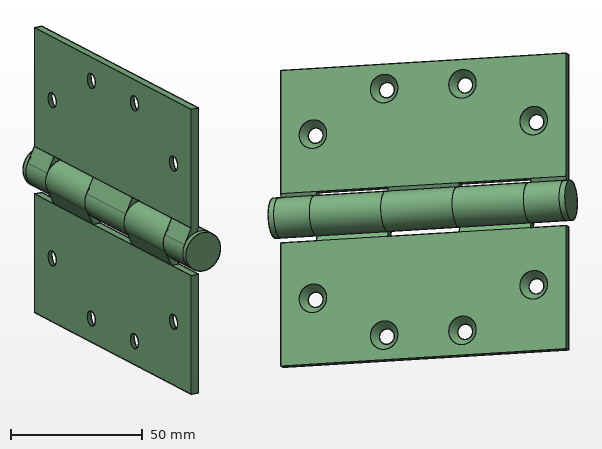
import cadquery as cq
import math


leaf_width = 114.3
open_height = 114.3
leaf_thickness = 3.3
leaf_back_y = -0.65
leaf_front_y = leaf_back_y - leaf_thickness
leaf_inner_z = 9.5
leaf_outer_z = open_height / 2

knuckle_radius = 7.7
bore_radius = knuckle_radius - leaf_thickness
knuckle_length = leaf_width / 4
end_knuckle_length = knuckle_length / 2

pin_length = 118.8
head_radius = knuckle_radius

hole_diameter = 5.8
countersink_angle = 76.0
inner_hole_x = 15.7
inner_hole_z = 47.7
outer_hole_x = 44.2
outer_hole_z = 31.7

upper_knuckles = [
    (-(leaf_width - end_knuckle_length) / 2, end_knuckle_length),
    (0, knuckle_length),
    ((leaf_width - end_knuckle_length) / 2, end_knuckle_length),
]
lower_knuckles = [(-knuckle_length, knuckle_length), (knuckle_length, knuckle_length)]


def rod(radius, length, center_x=0):
    """Cylinder on the pin axis."""
    return (
        cq.Workplane("YZ", origin=(center_x - length / 2, 0, 0))
        .circle(radius)
        .extrude(length)
    )


def front_tangent_point(y, z, radius):
    """Point where the line from (y, z) touches the front of a circle around the pin axis."""
    angle = math.atan2(z, y) + math.acos(radius / math.hypot(y, z))
    return radius * math.cos(angle), radius * math.sin(angle)


def make_plate():
    """Flat plate with four countersunk screw holes, above the pin."""
    plate = cq.Workplane("XY").box(
        leaf_width, leaf_thickness, leaf_outer_z - leaf_inner_z, centered=(True, True, False)
    ).translate((0, (leaf_front_y + leaf_back_y) / 2, leaf_inner_z))
    hole_places = [
        (side * x, z)
        for side in (-1, 1)
        for x, z in ((inner_hole_x, inner_hole_z), (outer_hole_x, outer_hole_z))
    ]
    holes = (
        cq.Workplane("XZ", origin=(0, leaf_front_y, 0))
        .pushPoints(hole_places)
        .circle(hole_diameter / 2)
        .extrude(-leaf_thickness, taper=-countersink_angle / 2)
    )
    return plate.cut(holes)


def make_knuckle(center_x, length):
    """Barrel and the slanted neck that joins it to the plate."""
    neck = (
        cq.Workplane("YZ", origin=(center_x - length / 2, 0, 0))
        .polyline([
            (leaf_back_y, leaf_inner_z),
            (leaf_front_y, leaf_inner_z),
            front_tangent_point(leaf_front_y, leaf_inner_z, knuckle_radius),
            front_tangent_point(leaf_back_y, leaf_inner_z, bore_radius),
        ])
        .close()
        .extrude(length)
    )
    return rod(knuckle_radius, length, center_x).union(neck)


def make_leaf(knuckles):
    """One leaf above the pin, bored for the pin."""
    leaf = make_plate()
    for center_x, length in knuckles:
        leaf = leaf.union(make_knuckle(center_x, length))
    return leaf.cut(rod(bore_radius, leaf_width))


def make_pin():
    """Pin filling the bores, with a flat head at each end."""
    pin = rod(bore_radius, leaf_width)
    head_thickness = (pin_length - leaf_width) / 2
    for side in (-1, 1):
        head_x = side * (pin_length - head_thickness) / 2
        pin = pin.union(rod(head_radius, head_thickness, head_x))
    return pin


upper_leaf = make_leaf(upper_knuckles)
lower_leaf = make_leaf(lower_knuckles).mirror("XY")
pin = make_pin()

result = cq.Compound.makeCompound([
    upper_leaf.solids().val(),
    lower_leaf.solids().val(),
    pin.solids().val(),
])